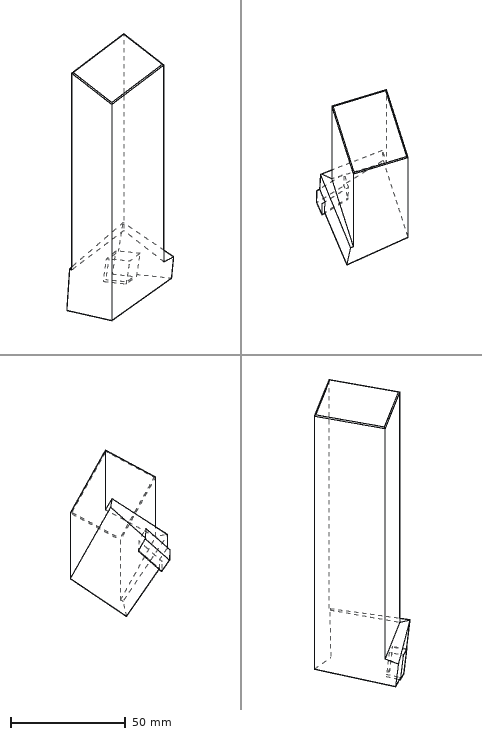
import cadquery as cq
import math



def slope(angle):
    """Rise per unit run of a face tilted by an angle in degrees."""
    return math.tan(math.radians(angle))


SHANK_WIDTH = 25.0
SHANK_DEPTH = 32.0
SHANK_TOP = 170.0
SHANK_TOP_CHAMFER = 0.5

TIP_X = -7.017
TIP_Y = SHANK_DEPTH

RAKE_RISE_ALONG_X = slope(4.95)
RAKE_RISE_ALONG_Z = slope(5.45)

LEDGE_HEIGHT = 35.4
LEDGE_FALL = slope(14.8)
SIDE_FLANK_OFFSET = 1.27
SIDE_FLANK_LEAN = slope(3.35)
SIDE_FLANK_DRAFT = slope(4.4)
END_FLANK_TOP = 22.15
END_FLANK_PITCH = slope(31.2)
END_FLANK_DRAFT = slope(2.95)
HEAD_CORNER_RADIUS = 0.2

INSERT_THICKNESS = 6.3
INSERT_LENGTH = 14.9
INSERT_WIDTH = 12.7
INSERT_TIP_DROP = 0.35
INSERT_SIDE_LEAN = slope(2.65)
INSERT_SIDE_DRAFT = slope(4.65)
INSERT_END_DRAFT = slope(3.75)
NOSE_RADIUS = 0.43
INSERT_CORNER_RADIUS = 0.7

ALLOWANCE = 15.0
CUTTER_SIZE = 400.0

RAKE_NORMAL = cq.Vector(-RAKE_RISE_ALONG_X, 1, -RAKE_RISE_ALONG_Z)
RAKE_POINT = cq.Vector(TIP_X, TIP_Y, 0)
END_FLANK_NORMAL = cq.Vector(END_FLANK_PITCH, -END_FLANK_DRAFT, -1)
END_FLANK_POINT = cq.Vector(SHANK_WIDTH, 0, END_FLANK_TOP)


def block(low, high):
    """A box between two opposite corners."""
    sizes = [top - bottom for bottom, top in zip(low, high)]
    return cq.Workplane("XY").box(*sizes, centered=False).translate(low)


def cut_face(body, point, normal):
    """Remove all of a body that lies beyond the plane through a point with an outward normal."""
    plane = cq.Plane(origin=point, normal=normal)
    cutter = cq.Workplane(plane).rect(CUTTER_SIZE, CUTTER_SIZE).extrude(CUTTER_SIZE)
    return body.cut(cutter)


def make_shank():
    shank = block((0, 0, 0), (SHANK_WIDTH, SHANK_DEPTH, SHANK_TOP))
    shank = shank.faces(">Z").chamfer(SHANK_TOP_CHAMFER)
    return cut_face(shank, END_FLANK_POINT, END_FLANK_NORMAL)


def make_head():
    head = block(
        (TIP_X - ALLOWANCE, 0, -ALLOWANCE),
        (SHANK_WIDTH, SHANK_DEPTH + ALLOWANCE, LEDGE_HEIGHT + ALLOWANCE),
    )
    head = cut_face(head, RAKE_POINT, RAKE_NORMAL)

    side_point = cq.Vector(-SIDE_FLANK_OFFSET, 0, LEDGE_HEIGHT)
    head = cut_face(head, side_point, cq.Vector(-1, -SIDE_FLANK_DRAFT, SIDE_FLANK_LEAN))
    head = cut_face(head, END_FLANK_POINT, END_FLANK_NORMAL)

    ledge_point = cq.Vector(0, SHANK_DEPTH, LEDGE_HEIGHT)
    head = cut_face(head, ledge_point, cq.Vector(-LEDGE_FALL, 0, 1))
    head = cut_face(head, ledge_point, cq.Vector(0, LEDGE_FALL, 1))

    return head.edges("<Z").fillet(HEAD_CORNER_RADIUS)


def make_insert():
    insert = block(
        (TIP_X - ALLOWANCE, TIP_Y - ALLOWANCE, -ALLOWANCE),
        (TIP_X + INSERT_WIDTH + ALLOWANCE, TIP_Y + ALLOWANCE, INSERT_LENGTH + ALLOWANCE),
    )
    insert = cut_face(insert, RAKE_POINT, RAKE_NORMAL)
    seat_point = RAKE_POINT - RAKE_NORMAL.normalized() * INSERT_THICKNESS
    insert = cut_face(insert, seat_point, -RAKE_NORMAL)

    side_point = cq.Vector(TIP_X, TIP_Y, 0)
    end_point = cq.Vector(TIP_X, TIP_Y, -INSERT_TIP_DROP)
    insert = cut_face(insert, side_point, cq.Vector(-1, -INSERT_SIDE_DRAFT, INSERT_SIDE_LEAN))
    insert = cut_face(insert, end_point, cq.Vector(END_FLANK_PITCH, -INSERT_END_DRAFT, -1))

    upper_point = end_point + cq.Vector(0, 0, INSERT_LENGTH)
    inner_point = side_point + cq.Vector(INSERT_WIDTH, 0, 0)
    insert = cut_face(insert, upper_point, cq.Vector(-END_FLANK_PITCH, 0, 1))
    insert = cut_face(insert, inner_point, cq.Vector(1, 0, -INSERT_SIDE_LEAN))

    insert = insert.edges("<Z").fillet(NOSE_RADIUS)
    mid_thickness = cq.Vector(0, -INSERT_THICKNESS / 2, 0)
    inner_corner = inner_point + cq.Vector(0, 0, INSERT_WIDTH * END_FLANK_PITCH)
    for corner in (upper_point, inner_corner):
        nearest = cq.selectors.NearestToPointSelector((corner + mid_thickness).toTuple())
        insert = insert.edges(nearest).fillet(INSERT_CORNER_RADIUS)
    return insert


insert = make_insert()
holder = make_shank().union(make_head()).cut(insert)

result = cq.Compound.makeCompound([holder.val(), insert.val()])